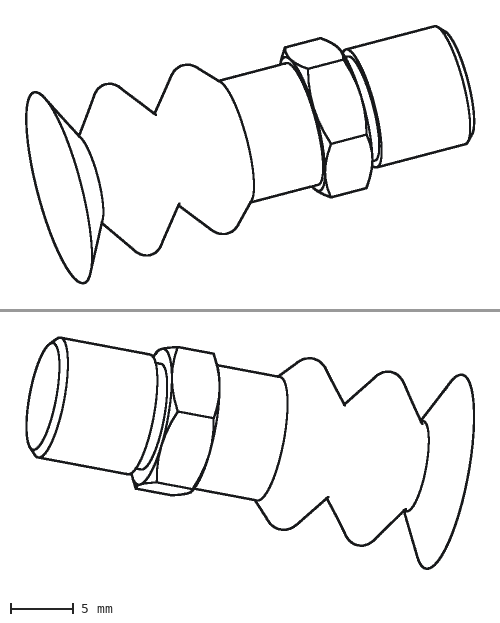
import cadquery as cq
import math

overall_length = 33.5

lip_radius = 7.855
lower_neck = {"start": 2.45, "end": 2.8, "edge_radius": 3.65, "mid_radius": 3.6}
lower_fold = {"start": 5.05, "end": 6.55, "edge_radius": 6.6, "mid_radius": 7.05}
upper_neck = {"start": 8.88, "end": 9.25, "edge_radius": 3.85, "mid_radius": 3.8}
upper_fold = {"start": 11.52, "end": 13.13, "edge_radius": 6.53, "mid_radius": 6.95}

body_radius = 10.0 / 2
body_start = 14.67
hex_start = 20.5
hex_width = 4.0
hex_across_flats = 11.0
hex_chamfer_angle = 30.0
groove_radius = 8.58 / 2
groove_width = 1.0
stud_radius = 9.7 / 2
stud_chamfer = 0.55

hex_end = hex_start + hex_width
stud_start = hex_end + groove_width


def add_round(profile, ring):
    """Add a cone up to a rounded fold or neck, then the rounding itself."""
    middle = (ring["start"] + ring["end"]) / 2
    return profile.lineTo(ring["edge_radius"], ring["start"]).threePointArc(
        (ring["mid_radius"], middle), (ring["edge_radius"], ring["end"])
    )


def make_turned_part():
    """Revolve the bellows, body, groove and stud about the Y axis."""
    profile = cq.Workplane("XY").lineTo(lip_radius, 0)
    for ring in (lower_neck, lower_fold, upper_neck, upper_fold):
        profile = add_round(profile, ring)
    return (
        profile.lineTo(body_radius, body_start)
        .lineTo(body_radius, hex_start)
        .lineTo(groove_radius, hex_start)
        .lineTo(groove_radius, stud_start)
        .lineTo(stud_radius, stud_start)
        .lineTo(stud_radius, overall_length - stud_chamfer)
        .lineTo(stud_radius - stud_chamfer, overall_length)
        .lineTo(0, overall_length)
        .close()
        .revolve(360, (0, 0, 0), (0, 1, 0))
    )


def make_hexagon():
    """Hexagon with flats facing +X and -X, its corners turned conically."""
    flat_radius = hex_across_flats / 2
    corner_radius = flat_radius / math.cos(math.radians(30))
    chamfer_length = (corner_radius - flat_radius) * math.tan(math.radians(hex_chamfer_angle))
    prism = (
        cq.Workplane("XZ", origin=(0, hex_start, 0))
        .transformed(rotate=(0, 0, 90))
        .polygon(6, 2 * corner_radius)
        .extrude(-hex_width)
    )
    turned_envelope = (
        cq.Workplane("XY")
        .moveTo(0, hex_start)
        .lineTo(flat_radius, hex_start)
        .lineTo(corner_radius, hex_start + chamfer_length)
        .lineTo(corner_radius, hex_end - chamfer_length)
        .lineTo(flat_radius, hex_end)
        .lineTo(0, hex_end)
        .close()
        .revolve(360, (0, 0, 0), (0, 1, 0))
    )
    return prism.intersect(turned_envelope)


result = make_turned_part().union(make_hexagon())